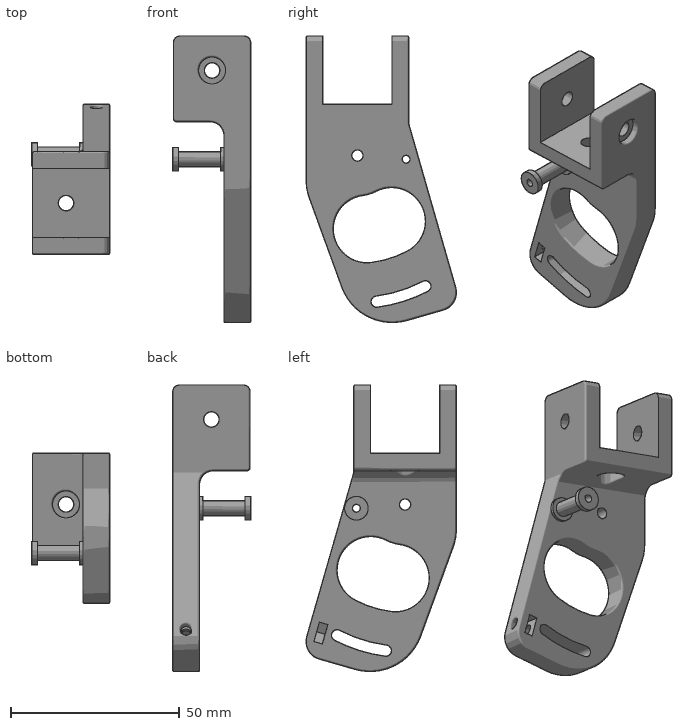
import cadquery as cq
import math


CLEVIS_LENGTH = 23.0
ARM_THICKNESS = 5.0
SLOT_WIDTH = 20.5
SLOT_DEPTH = 20.25
FLOOR_THICKNESS = 5.25
CLEVIS_WIDTH = SLOT_WIDTH + 2 * ARM_THICKNESS
CLEVIS_HEIGHT = SLOT_DEPTH + FLOOR_THICKNESS
ARM_CORNER_RADIUS = 2.0
UNDERSIDE_EDGE_RADIUS = 1.0
EDGE_RADIUS = 0.5

BOLT_DIAMETER = 4.5
BOLT_HEAD_DIAMETER = 8.0
BOLT_HEAD_DEPTH = 2.25
CROSS_BOLT_X = CLEVIS_LENGTH / 2
CROSS_BOLT_Z = CLEVIS_HEIGHT - SLOT_WIDTH / 2
FLOOR_BOLT_X = 10.0

PLATE_THICKNESS = 8.0
PLATE_X = CLEVIS_LENGTH - PLATE_THICKNESS
NECK_RADIUS = 4.0
PLATE_DEPTH = 59.59
REAR_TILT = math.radians(16.0)
REAR_KNEE_Z = -0.5
FRONT_TILT = math.radians(20.0)
FRONT_KNEE_Z = -20.0
FRONT_KNEE_RADIUS = 15.0
REAR_CORNER_RADIUS = 5.5
TOE_RADIUS = 16.0

PIVOT_DIAMETER = 3.25
PIVOT_Y = CLEVIS_WIDTH / 2
PIVOT_Z = -10.0
SWING_START = math.radians(-82.5)
SWING_END = math.radians(-62.5)
FINGER_HOLE_RADIUS = 22.0
FINGER_HOLE_WIDTH = 20.0
GUIDE_SLOT_RADIUS = 43.75

SCREW_DIAMETER = 3.25
SCREW_X = PLATE_X + PLATE_THICKNESS / 2
NUT_Y = 40.25
NUT_Z = -48.15
NUT_ACROSS_FLATS = 6.0
NUT_THICKNESS = 2.6

PIN_Y = 29.7
PIN_Z = -11.1
PIN_LENGTH = 15.2
PIN_DIAMETER = 4.5
PIN_BORE = 2.25
FLANGE_DIAMETER = 7.0
HEAD_THICKNESS = 1.75
FOOT_THICKNESS = 1.0

MARGIN = 5.0
TOLERANCE = 0.001


def cylinder(diameter, length, start, direction):
    """Cylinder of the given length from a start point along a direction."""
    return cq.Workplane(cq.Solid.makeCylinder(diameter / 2, length, cq.Vector(*start), cq.Vector(*direction)))


def side_prism():
    """Outline in the YZ plane, as wide as the clevis."""
    sin_rear, cos_rear, tan_rear = math.sin(REAR_TILT), math.cos(REAR_TILT), math.tan(REAR_TILT)
    sin_front, cos_front = math.sin(FRONT_TILT), math.cos(FRONT_TILT)

    toe_z = TOE_RADIUS - PLATE_DEPTH
    toe_y = (TOE_RADIUS - (toe_z - FRONT_KNEE_Z) * sin_front) / cos_front
    toe_front = (toe_y - TOE_RADIUS * cos_front, toe_z - TOE_RADIUS * sin_front)
    toe_bottom = (toe_y, -PLATE_DEPTH)
    toe_rear = (toe_y + TOE_RADIUS * sin_rear, toe_z - TOE_RADIUS * cos_rear)

    rear_y = (CLEVIS_WIDTH + tan_rear * (REAR_KNEE_Z + toe_rear[0] * tan_rear - toe_rear[1])) / (1 + tan_rear**2)
    rear_z = toe_rear[1] + (rear_y - toe_rear[0]) * tan_rear

    outline = (
        cq.Workplane("YZ")
        .moveTo(0, CLEVIS_HEIGHT)
        .lineTo(0, FRONT_KNEE_Z)
        .lineTo(*toe_front)
        .threePointArc(toe_bottom, toe_rear)
        .lineTo(rear_y, rear_z)
        .lineTo(CLEVIS_WIDTH, REAR_KNEE_Z)
        .lineTo(CLEVIS_WIDTH, CLEVIS_HEIGHT)
        .close()
        .extrude(CLEVIS_LENGTH)
    )
    knee = cq.selectors.NearestToPointSelector((CLEVIS_LENGTH / 2, 0, FRONT_KNEE_Z))
    rear_corner = cq.selectors.NearestToPointSelector((CLEVIS_LENGTH / 2, rear_y, rear_z))
    return outline.edges(knee).fillet(FRONT_KNEE_RADIUS).edges(rear_corner).fillet(REAR_CORNER_RADIUS)


def front_prism():
    """Outline in the XZ plane: the clevis block with the plate hanging below one side."""
    prism_depth = 2 * CLEVIS_WIDTH
    plate_bottom = -PLATE_DEPTH - MARGIN
    outline = (
        cq.Workplane("XZ", origin=(0, prism_depth, 0))
        .moveTo(0, 0)
        .lineTo(PLATE_X, 0)
        .lineTo(PLATE_X, plate_bottom)
        .lineTo(CLEVIS_LENGTH, plate_bottom)
        .lineTo(CLEVIS_LENGTH, CLEVIS_HEIGHT)
        .lineTo(0, CLEVIS_HEIGHT)
        .close()
        .extrude(prism_depth + MARGIN)
    )
    neck = cq.selectors.NearestToPointSelector((PLATE_X, (prism_depth - MARGIN) / 2, 0))
    underside = cq.selectors.NearestToPointSelector((0, (prism_depth - MARGIN) / 2, 0))
    return (
        outline
        .edges("|Y and >Z").fillet(ARM_CORNER_RADIUS)
        .edges(neck).fillet(NECK_RADIUS)
        .edges(underside).fillet(UNDERSIDE_EDGE_RADIUS)
    )


def is_rim(edge):
    """True for edges around a plate face or clevis wall, False for edges that only cross between two faces."""
    start, end = edge.startPoint(), edge.endPoint()
    along_x = abs(start.x - end.x) > TOLERANCE
    along_y = abs(start.y - end.y) > TOLERANCE
    along_z = abs(start.z - end.z) > TOLERANCE
    parallel_to_y = along_y and not along_x and not along_z
    reaches_plate_face = max(start.x, end.x) > CLEVIS_LENGTH - TOLERANCE
    crosses_plate = along_x and not along_y and not along_z and reaches_plate_face
    return not (parallel_to_y or crosses_plate)


def swung_slot(radius, width):
    """Arc slot through the plate, centred on the pivot."""

    def at(distance, angle):
        """Point at a distance and angle from the pivot."""
        return (PIVOT_Y + distance * math.cos(angle), PIVOT_Z + distance * math.sin(angle))

    middle = (SWING_START + SWING_END) / 2
    half = width / 2
    inner = radius - half
    outer = radius + half

    def tip(angle, side):
        """Farthest point of the round end, to the given side along the swing."""
        y, z = at(radius, angle)
        return (y - side * half * math.sin(angle), z + side * half * math.cos(angle))

    return (
        cq.Workplane("YZ", origin=(PLATE_X, 0, 0))
        .moveTo(*at(inner, SWING_START))
        .threePointArc(at(inner, middle), at(inner, SWING_END))
        .threePointArc(tip(SWING_END, 1), at(outer, SWING_END))
        .threePointArc(at(outer, middle), at(outer, SWING_START))
        .threePointArc(tip(SWING_START, -1), at(inner, SWING_START))
        .close()
        .extrude(PLATE_THICKNESS)
    )


def round_rim(body, center, reach):
    """Round the edges lying within the given reach of a hole's mouth along X, Y and Z."""
    low = [middle - half - TOLERANCE for middle, half in zip(center, reach)]
    high = [middle + half + TOLERANCE for middle, half in zip(center, reach)]
    return body.edges(cq.selectors.BoxSelector(low, high, boundingbox=True)).fillet(EDGE_RADIUS)


def cut_bolt_holes(body):
    """Bolt holes across the arms and through the floor, each with a round-edged head recess."""
    front_mouth = (CROSS_BOLT_X, 0, CROSS_BOLT_Z)
    body = body.cut(cylinder(BOLT_DIAMETER, CLEVIS_WIDTH, front_mouth, (0, 1, 0)))
    body = body.cut(cylinder(BOLT_HEAD_DIAMETER, BOLT_HEAD_DEPTH, front_mouth, (0, 1, 0)))

    neck_level = (FLOOR_BOLT_X, PIVOT_Y, -NECK_RADIUS)
    body = body.cut(cylinder(BOLT_DIAMETER, NECK_RADIUS + FLOOR_THICKNESS, neck_level, (0, 0, 1)))
    body = body.cut(cylinder(BOLT_HEAD_DIAMETER, NECK_RADIUS + BOLT_HEAD_DEPTH, neck_level, (0, 0, 1)))

    head_radius = BOLT_HEAD_DIAMETER / 2
    body = round_rim(body, front_mouth, (head_radius, 0, head_radius))
    return round_rim(body, (FLOOR_BOLT_X, PIVOT_Y, 0), (head_radius, head_radius, NECK_RADIUS / 2))


def cut_clamp_screw_hole(body):
    """Screw hole from the rear edge into the end of the guide slot, rounded at its mouth."""
    inward = (0, -math.cos(REAR_TILT), -math.sin(REAR_TILT))
    slot_end_y = PIVOT_Y + GUIDE_SLOT_RADIUS * math.cos(SWING_END)
    rear_distance = (CLEVIS_WIDTH - NUT_Y) * math.cos(REAR_TILT) + (REAR_KNEE_Z - NUT_Z) * math.sin(REAR_TILT)
    mouth_y = NUT_Y + rear_distance * math.cos(REAR_TILT)
    mouth_z = NUT_Z + rear_distance * math.sin(REAR_TILT)
    mouth = (SCREW_X, mouth_y, mouth_z)
    length = (mouth_y - slot_end_y) / math.cos(REAR_TILT)
    screw_radius = SCREW_DIAMETER / 2
    body = body.cut(cylinder(SCREW_DIAMETER, length, mouth, inward))
    return round_rim(body, mouth, (screw_radius, screw_radius, screw_radius))


def nut_pocket():
    """Hexagonal pocket, a corner of the hexagon at its bottom, open to the clevis side of the plate."""
    hexagon_sides = 6
    across_corners = NUT_ACROSS_FLATS / math.cos(math.pi / hexagon_sides)
    axis = (0, math.cos(REAR_TILT), math.sin(REAR_TILT))
    nut_plane = cq.Plane(origin=(SCREW_X, NUT_Y, NUT_Z), xDir=(1, 0, 0), normal=axis)
    nut = cq.Workplane(nut_plane).polygon(hexagon_sides, across_corners).extrude(NUT_THICKNESS / 2, both=True)
    mouth_depth = SCREW_X - PLATE_X
    mouth = (
        cq.Workplane(nut_plane)
        .center(-mouth_depth / 2, 0)
        .rect(mouth_depth, NUT_ACROSS_FLATS)
        .extrude(NUT_THICKNESS / 2, both=True)
    )
    return nut.union(mouth)


def make_bracket():
    """Clevis and plate in one piece; its outer rims and the finger hole are rounded before other cuts."""
    body = side_prism().intersect(front_prism())
    body = body.cut(swung_slot(FINGER_HOLE_RADIUS, FINGER_HOLE_WIDTH))
    rim = [edge for edge in body.edges().vals() if is_rim(edge)]
    body = body.newObject(rim).fillet(EDGE_RADIUS)

    clevis_slot = cq.Workplane("XY").box(CLEVIS_LENGTH, SLOT_WIDTH, SLOT_DEPTH, centered=False)
    body = body.cut(clevis_slot.translate((0, ARM_THICKNESS, FLOOR_THICKNESS)))
    body = cut_bolt_holes(body)

    body = body.cut(cylinder(PIVOT_DIAMETER, PLATE_THICKNESS, (PLATE_X, PIVOT_Y, PIVOT_Z), (1, 0, 0)))
    body = body.cut(cylinder(PIN_BORE, PLATE_THICKNESS, (PLATE_X, PIN_Y, PIN_Z), (1, 0, 0)))
    body = body.cut(swung_slot(GUIDE_SLOT_RADIUS, PIVOT_DIAMETER))
    return cut_clamp_screw_hole(body.cut(nut_pocket()))


def make_pin():
    """Hollow pin with a head at its free end and a foot flange against the plate."""
    tip = (PLATE_X - PIN_LENGTH, PIN_Y, PIN_Z)
    foot = (PLATE_X - FOOT_THICKNESS, PIN_Y, PIN_Z)
    along = (1, 0, 0)
    shank = cylinder(PIN_DIAMETER, PIN_LENGTH, tip, along)
    head_flange = cylinder(FLANGE_DIAMETER, HEAD_THICKNESS, tip, along)
    foot_flange = cylinder(FLANGE_DIAMETER, FOOT_THICKNESS, foot, along)
    return shank.union(head_flange).union(foot_flange).cut(cylinder(PIN_BORE, PIN_LENGTH, tip, along))


bracket = make_bracket()
pin = make_pin()
result = cq.Compound.makeCompound([bracket.val(), pin.val()])